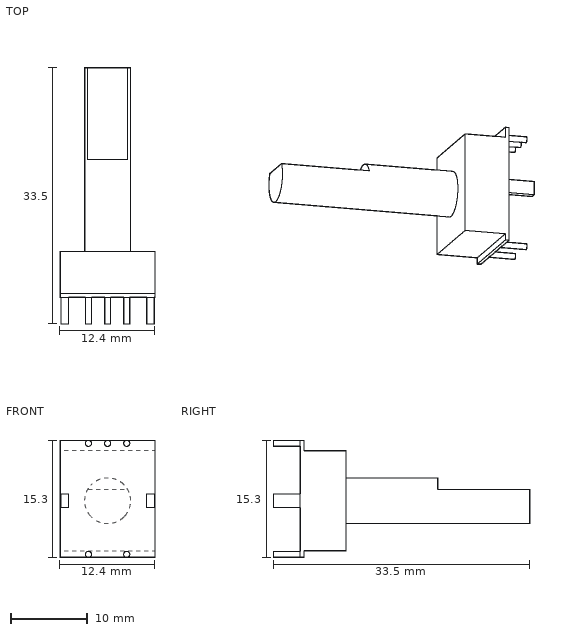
import cadquery as cq

body_width = 12.4
body_height = 13.1
body_depth = 5.5
plate_thickness = 0.5
plate_top = 7.9
plate_bottom = -7.4

shaft_diameter = 6.0
shaft_length = 24.0
flat_length = 12.0
flat_depth = 1.5

terminal_length = 3.5
pin_diameter = 0.8
pin_spacing = 2.5
upper_pin_z = plate_top - pin_diameter / 2
lower_pin_z = plate_bottom + pin_diameter / 2
tab_width = 1.0
tab_height = 1.8
tab_inset = 0.1

body_front = plate_thickness + body_depth
shaft_end = body_front + shaft_length


def block(width, height, y_start, y_end, x_center=0.0, z_center=0.0):
    """Rectangular block spanning y_start to y_end."""
    length = y_end - y_start
    return cq.Workplane("XY").box(width, length, height).translate(
        (x_center, y_start + length / 2, z_center)
    )


def rod(diameter, y_start, y_end, x_center=0.0, z_center=0.0):
    """Round rod along Y spanning y_start to y_end."""
    plane = cq.Plane(origin=(x_center, y_start, z_center), xDir=(1, 0, 0), normal=(0, 1, 0))
    return cq.Workplane(plane).circle(diameter / 2).extrude(y_end - y_start)


def make_housing():
    """Body block with the taller plate across its rear."""
    plate = block(
        body_width,
        plate_top - plate_bottom,
        0,
        plate_thickness,
        z_center=(plate_top + plate_bottom) / 2,
    )
    return plate.union(block(body_width, body_height, plate_thickness, body_front))


def make_shaft():
    """D-shaft: round near the body, flattened on top at the free end."""
    shaft = rod(shaft_diameter, body_front, shaft_end)
    flat_cut = block(
        shaft_diameter,
        flat_depth,
        shaft_end - flat_length,
        shaft_end,
        z_center=(shaft_diameter - flat_depth) / 2,
    )
    return shaft.cut(flat_cut)


def make_pins():
    """Three pins along the upper plate edge and two along the lower edge."""
    upper = [(x, upper_pin_z) for x in (-pin_spacing, 0, pin_spacing)]
    lower = [(x, lower_pin_z) for x in (-pin_spacing, pin_spacing)]
    return [rod(pin_diameter, -terminal_length, 0, x, z) for x, z in upper + lower]


def make_tabs():
    """One rectangular mounting tab near each side of the plate."""
    tab_x = body_width / 2 - tab_inset - tab_width / 2
    return [block(tab_width, tab_height, -terminal_length, 0, side * tab_x) for side in (-1, 1)]


result = make_housing().union(make_shaft())
for terminal in make_pins() + make_tabs():
    result = result.union(terminal)